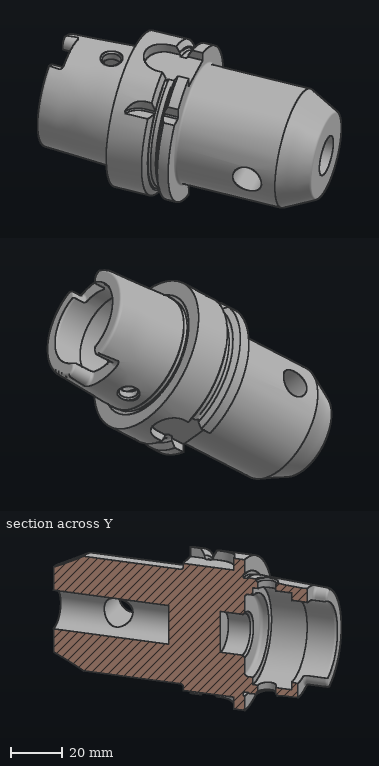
import cadquery as cq
import math

LENGTH = 112.0

TAPER_MOUTH_R = 22.6
TAPER_END_R = 24.2
TAPER_END_X = 30.0
MOUTH_FILLET = 1.2

RELIEF_R = 23.9
RELIEF_STEP_R = 24.1
RELIEF_STEP_X = 30.7
RELIEF_START_X = 31.0
RELIEF_DEPTH = 0.6
RELIEF_OUTER_R = 25.4

FLANGE_START_X = 32.0
FLANGE_END_X = 57.8
FLANGE_R = 31.5
GROOVE_CENTER_X = 50.1
GROOVE_OPENING = 6.6
GROOVE_NECK = 3.6
GROOVE_WALL_ANGLE = 60.0
GROOVE_FLOOR_R = 27.4
GROOVE_FLOOR_FILLET = 0.8

BODY_R = 24.0
NECK_FILLET = 1.0
NOSE_START_X = 99.3
NOSE_END_R = 17.7
NOSE_FILLET = 1.1

BORE_R = 17.0
BORE_CHAMFER = 0.3
BORE_CHAMFER_LENGTH = 1.1
BORE_LIP_X = 12.5
CLAMP_GROOVE_R = 20.0
CLAMP_GROOVE_END_X = 28.6
BORE_FLOOR_X = 32.0
BORE_FLOOR_FILLET = 1.3
COOLANT_R = 8.4
COOLANT_CHAMFER = 0.9
COOLANT_DEPTH = 10.1

TOOL_BORE_R = 8.0
TOOL_BORE_DEPTH = 48.2
SCREW_X = 87.8
SCREW_R = 5.9

ACCESS_X = 22.8
ACCESS_R = 3.7
ACCESS_CHAMFER_R = 4.4

NOTCH_HALF_WIDTH = 6.2
NOTCH_FLARE_R = 3.4
NOTCH_SHOULDER = 20.6
NOTCH_FLOOR_FILLET = 1.1
NOTCH_MOUTH_FILLET = 0.9
UPPER_NOTCH_DEPTH = 5.9
LOWER_NOTCH_DEPTH = 9.7

SLOT_END_R = 8.0
KEYWAY_START_X = 36.7
KEYWAY_FLOOR = 26.5
ORIENT_START_X = 36.1
ORIENT_WALL = 19.9
ORIENT_FLOOR = 19.8
ORIENT_FLOOR_CHAMFER = 0.6

CLEAR = 44.8


def turned_body():
    groove_left = GROOVE_CENTER_X - GROOVE_OPENING / 2
    groove_right = GROOVE_CENTER_X + GROOVE_OPENING / 2
    neck_left = GROOVE_CENTER_X - GROOVE_NECK / 2
    neck_right = GROOVE_CENTER_X + GROOVE_NECK / 2
    wall_drop = (neck_left - groove_left) * math.tan(math.radians(GROOVE_WALL_ANGLE))
    neck_top_r = FLANGE_R - wall_drop
    relief_end_x = FLANGE_START_X + RELIEF_DEPTH
    bend = GROOVE_FLOOR_FILLET
    bend_top_r = GROOVE_FLOOR_R + bend
    profile = (
        cq.Workplane("XY")
        .lineTo(0, TAPER_MOUTH_R)
        .lineTo(TAPER_END_X, TAPER_END_R)
        .lineTo(RELIEF_STEP_X, RELIEF_STEP_R)
        .lineTo(RELIEF_START_X, RELIEF_R)
        .lineTo(relief_end_x, RELIEF_R)
        .lineTo(relief_end_x, RELIEF_OUTER_R - RELIEF_DEPTH)
        .radiusArc((FLANGE_START_X, RELIEF_OUTER_R), -RELIEF_DEPTH)
        .lineTo(FLANGE_START_X, FLANGE_R)
        .lineTo(groove_left, FLANGE_R)
        .lineTo(neck_left, neck_top_r)
        .lineTo(neck_left, bend_top_r)
        .radiusArc((neck_left + bend, GROOVE_FLOOR_R), -bend)
        .lineTo(neck_right - bend, GROOVE_FLOOR_R)
        .radiusArc((neck_right, bend_top_r), -bend)
        .lineTo(neck_right, neck_top_r)
        .lineTo(groove_right, FLANGE_R)
        .lineTo(FLANGE_END_X, FLANGE_R)
        .lineTo(FLANGE_END_X, BODY_R + NECK_FILLET)
        .radiusArc((FLANGE_END_X + NECK_FILLET, BODY_R), -NECK_FILLET)
        .lineTo(NOSE_START_X, BODY_R)
        .lineTo(LENGTH, NOSE_END_R)
        .lineTo(LENGTH, 0)
        .close()
    )
    body = profile.revolve(360, (0, 0, 0), (1, 0, 0))
    body = body.faces("<X").edges().fillet(MOUTH_FILLET)
    return body.faces(">X").edges().fillet(NOSE_FILLET)


def clamping_bore():
    coolant_end_x = BORE_FLOOR_X + COOLANT_DEPTH
    return (
        cq.Workplane("XY")
        .lineTo(0, BORE_R + BORE_CHAMFER)
        .lineTo(BORE_CHAMFER_LENGTH, BORE_R)
        .lineTo(BORE_LIP_X, BORE_R)
        .lineTo(BORE_LIP_X, CLAMP_GROOVE_R)
        .lineTo(CLAMP_GROOVE_END_X, CLAMP_GROOVE_R)
        .lineTo(CLAMP_GROOVE_END_X, BORE_R)
        .lineTo(BORE_FLOOR_X - BORE_FLOOR_FILLET, BORE_R)
        .radiusArc((BORE_FLOOR_X, BORE_R - BORE_FLOOR_FILLET), BORE_FLOOR_FILLET)
        .lineTo(BORE_FLOOR_X, COOLANT_R + COOLANT_CHAMFER)
        .lineTo(BORE_FLOOR_X + COOLANT_CHAMFER, COOLANT_R)
        .lineTo(coolant_end_x, COOLANT_R)
        .lineTo(coolant_end_x, 0)
        .close()
        .revolve(360, (0, 0, 0), (1, 0, 0))
    )


def tool_bore():
    return cq.Workplane("YZ", origin=(LENGTH, 0, 0)).circle(TOOL_BORE_R).extrude(-TOOL_BORE_DEPTH)


def screw_hole():
    return cq.Workplane("XZ", origin=(SCREW_X, 0, 0)).circle(SCREW_R).extrude(CLEAR)


def access_hole():
    """Hole along +Z whose countersink starts where its rim lies deepest in the round taper."""
    slope = (TAPER_END_R - TAPER_MOUTH_R) / TAPER_END_X
    surface_r = TAPER_MOUTH_R + slope * ACCESS_X
    rim_height = math.sqrt(surface_r**2 - ACCESS_CHAMFER_R**2)
    sink = ACCESS_CHAMFER_R - ACCESS_R
    hole = (
        cq.Workplane("XZ")
        .lineTo(ACCESS_R, 0)
        .lineTo(ACCESS_R, rim_height - sink)
        .lineTo(ACCESS_CHAMFER_R, rim_height)
        .lineTo(ACCESS_CHAMFER_R, CLEAR)
        .lineTo(0, CLEAR)
        .close()
        .revolve(360, (0, 0, 0), (0, 1, 0))
    )
    return hole.translate((ACCESS_X, 0, 0))


def drive_notch(depth):
    """Notch on the +Z side, its side walls flaring outward along round arcs."""
    flare_half_width = NOTCH_HALF_WIDTH + NOTCH_FLARE_R
    flare_start = NOTCH_SHOULDER - NOTCH_FLARE_R
    notch = (
        cq.Workplane("YZ")
        .moveTo(-NOTCH_HALF_WIDTH, 0)
        .lineTo(-NOTCH_HALF_WIDTH, flare_start)
        .radiusArc((-flare_half_width, NOTCH_SHOULDER), -NOTCH_FLARE_R)
        .lineTo(-CLEAR, NOTCH_SHOULDER)
        .lineTo(-CLEAR, CLEAR)
        .lineTo(CLEAR, CLEAR)
        .lineTo(CLEAR, NOTCH_SHOULDER)
        .lineTo(flare_half_width, NOTCH_SHOULDER)
        .radiusArc((NOTCH_HALF_WIDTH, flare_start), -NOTCH_FLARE_R)
        .lineTo(NOTCH_HALF_WIDTH, 0)
        .close()
        .extrude(depth)
    )
    notch = notch.faces(">X").edges().fillet(NOTCH_FLOOR_FILLET)
    front = cq.Workplane("XY").box(CLEAR, 2 * CLEAR, CLEAR, centered=(False, True, False))
    cutter = notch.union(front.translate((-CLEAR, 0, 0)))
    near = NOTCH_MOUTH_FILLET
    mouth = cq.selectors.BoxSelector((-near, near - CLEAR, near), (near, CLEAR - near, CLEAR - near))
    return cutter.edges(mouth).fillet(NOTCH_MOUTH_FILLET)


def round_ended_slot(start_x, floor):
    """Slot along X, open past the flange, with its floor at the given height."""
    center_x = start_x + SLOT_END_R
    straight = FLANGE_END_X + NECK_FILLET - center_x
    end = cq.Workplane("XY").circle(SLOT_END_R).extrude(CLEAR)
    run = cq.Workplane("XY").box(straight, 2 * SLOT_END_R, CLEAR, centered=(False, True, False))
    return end.union(run).translate((center_x, 0, floor))


def orientation_notch():
    """Slot beside the upper keyway, with its wall facing -Y and a chamfered corner at its floor."""
    slot = round_ended_slot(ORIENT_START_X, ORIENT_FLOOR)
    slot = slot.faces("<Z").edges().chamfer(ORIENT_FLOOR_CHAMFER)
    return slot.translate((0, -ORIENT_WALL - SLOT_END_R, 0))


def opposite(shape):
    """The same shape turned half a turn about the X axis."""
    return shape.rotate((0, 0, 0), (1, 0, 0), 180)


keyway = round_ended_slot(KEYWAY_START_X, KEYWAY_FLOOR)

result = turned_body().cut(clamping_bore())
result = result.cut(drive_notch(UPPER_NOTCH_DEPTH)).cut(opposite(drive_notch(LOWER_NOTCH_DEPTH)))
result = result.cut(access_hole()).cut(opposite(access_hole()))
result = result.cut(tool_bore()).cut(screw_hole())
result = result.cut(keyway).cut(opposite(keyway)).cut(orientation_notch())